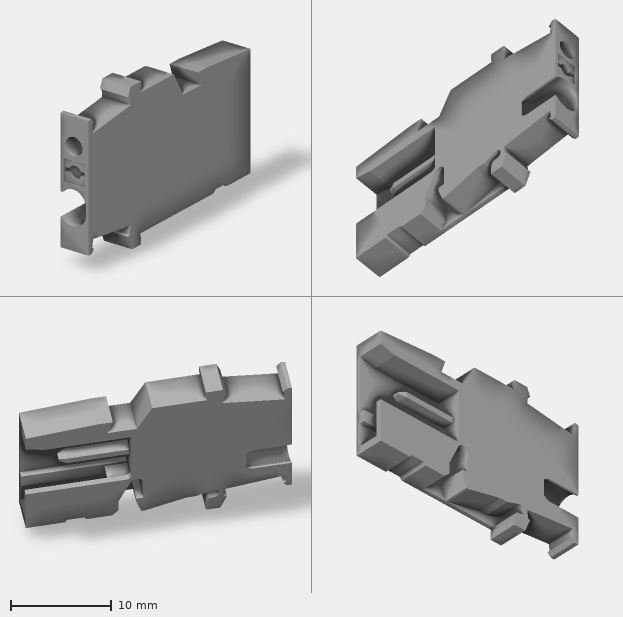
import cadquery as cq

width = 3.5
length = 27.0
height = 17.8
bottom = 1.25
body_top = 16.6
plug_top = 15.35

cut_depth = 3.02

pocket_end = 16.28
pocket_floor = 6.35
pocket_roof = 12.7
mouth_roof = 13.18
flare_start = 25.05
pocket_corner = 0.55
outer_wall = 0.62
channel_end = 18.55
channel_floor = 2.15
block_top = 6.08
rib_x = 2.4
rib_bottom = 4.91

pin_z = 9.5
pin_x = 1.55
pin_width = 1.35
pin_height = 0.68
pin_shoulder = 22.7
pin_tip = 23.44
pin_tip_width = 0.75
pin_tip_height = 0.27

entry_x = 1.55
entry_z = 6.6
entry_radius = 1.67
entry_height = 4.05
funnel_start = 4.67
funnel_wall = 0.14
funnel_end = 6.2
socket_x = 1.7
socket_z = 6.72
socket_width = 1.95
socket_height = 2.55
socket_depth = 2.7
sill_step = 0.15
sill_foot = 0.25
sill_knee = 0.08
slot_depth = 0.27
slot_length = funnel_start
slot_height = 2.75
slot_corner = 0.8

hole_x = 1.7
hole_z = 13.28
hole_radius = 1.05
hole_depth = 5.4
ramp_top = 13.42
ramp_run = 1.35

button_x = 1.7
button_z = 10.42
button_side = 2.62
button_recess = 0.15
button_depth = 0.68
button_radius = 0.73
button_slot = 0.57
tab_width = 0.6
tab_height = 0.08


def side_extrude(outline, start, depth):
    """Extrude a (Y, Z) outline along +X from the given X."""
    return outline.extrude(depth).translate((start, 0, 0))


def box(x0, x1, y0, y1, z0, z1):
    return cq.Workplane("XY").box(x1 - x0, y1 - y0, z1 - z0, centered=False).translate((x0, y0, z0))


def face_plane(y):
    """Sketch plane facing +Y: local x points along -X and local y along +Z."""
    return cq.Workplane(cq.Plane(origin=(0, y, 0), xDir=(-1, 0, 0), normal=(0, 1, 0)))


def make_body():
    outline = [
        (length, 14.8), (19.76, plug_top), (18.17, plug_top), (18.7, 13.82), (15.75, 13.82),
        (14.18, body_top), (8.6, body_top),
        (8.72, 17.05), (8.72, height), (7.0, height), (6.6, 16.8), (6.85, 16.8), (7.0, 15.8),
        (0.75, 14.98), (0.6, 16.05), (0.92, 16.1), (0.49, body_top), (0, 16.55),
        (0, 1.9), (0.5, 1.9), (0.92, 2.35), (0.6, 2.43), (0.75, 3.43),
        (7.0, 2.7), (6.85, 1.7), (6.6, 1.6), (7.25, 0), (8.72, 0), (8.72, 0.75), (8.6, bottom),
        (20.85, bottom), (21.11, 1.57), (22.82, 1.57), (23.0, bottom), (length, bottom),
    ]
    return side_extrude(cq.Workplane("YZ").polyline(outline).close(), 0, width)


def plug_pocket():
    outline = (
        cq.Workplane("YZ")
        .moveTo(length, mouth_roof)
        .lineTo(flare_start, pocket_roof)
        .lineTo(pocket_end, pocket_roof)
        .lineTo(pocket_end, pocket_floor + pocket_corner)
        .radiusArc((pocket_end + pocket_corner, pocket_floor), -pocket_corner)
        .lineTo(length, pocket_floor)
        .close()
    )
    channel = box(outer_wall, cut_depth, channel_end, length, channel_floor, pocket_floor)
    step = box(outer_wall, cut_depth, pocket_end, channel_end, block_top, pocket_floor + pocket_corner)
    return side_extrude(outline, 0, cut_depth).union(channel).union(step)


def guide_rib():
    return box(rib_x, cut_depth, pocket_end, length, rib_bottom, pocket_floor)


def contact_pin():
    shank = box(
        pin_x - pin_width / 2, pin_x + pin_width / 2, pocket_end, pin_shoulder,
        pin_z - pin_height / 2, pin_z + pin_height / 2,
    )
    tip = (
        face_plane(pin_shoulder)
        .center(-pin_x, pin_z)
        .rect(pin_width, pin_height)
        .workplane(offset=pin_tip - pin_shoulder)
        .rect(pin_tip_width, pin_tip_height)
        .loft(ruled=True)
    )
    return shank.union(tip)


def latch_cut():
    """Hook-shaped opening behind the latch at the underside."""
    outline = (
        cq.Workplane("YZ")
        .moveTo(18.25, bottom)
        .lineTo(17.58, 1.9)
        .lineTo(17.58, 3.27)
        .lineTo(16.45, 5.67)
        .threePointArc((15.75, 6.2), (15.07, 5.67))
        .lineTo(15.07, 3.27)
        .lineTo(15.8, 3.27)
        .lineTo(15.8, 2.78)
        .lineTo(15.28, bottom)
        .close()
    )
    return side_extrude(outline, 0, cut_depth)


def spring_cut():
    """Wedge-shaped gap that frees the lower latch foot."""
    outline = (
        cq.Workplane("YZ")
        .moveTo(15.0, bottom)
        .lineTo(10.66, 2.3)
        .lineTo(9.7, 2.3)
        .lineTo(8.02, 2.85)
        .threePointArc((7.4, 2.3), (7.88, 1.73))
        .lineTo(8.3, 1.73)
        .threePointArc((8.5, 1.57), (8.6, bottom))
        .close()
    )
    return side_extrude(outline, 0, cut_depth)


def wire_entry():
    bore = (
        face_plane(0)
        .center(-entry_x, entry_z)
        .slot2D(entry_height, 2 * entry_radius, 90)
        .extrude(funnel_end)
    )
    funnel_right = entry_x + entry_radius
    funnel_x = (funnel_wall + funnel_right) / 2
    funnel = (
        face_plane(funnel_start)
        .center(-funnel_x, entry_z)
        .rect(funnel_right - funnel_wall, entry_height)
        .workplane(offset=funnel_end - funnel_start)
        .center(funnel_x - socket_x, socket_z - entry_z)
        .rect(socket_width, socket_height)
        .loft(ruled=True)
    )
    tapered_bore = bore.intersect(funnel.union(box(-width, width, 0, funnel_start, 0, height)))

    back = funnel_end + socket_depth
    floor = socket_z - socket_height / 2
    roof = socket_z + socket_height / 2
    socket_outline = [
        (funnel_end, roof), (funnel_end, floor), (back - sill_foot, floor),
        (back - sill_knee, floor + sill_step), (back, floor + 2 * sill_step), (back, roof),
    ]
    socket = side_extrude(
        cq.Workplane("YZ").polyline(socket_outline).close(), socket_x - socket_width / 2, socket_width
    )

    slot = box(
        0, slot_depth, 0, slot_length, entry_z - slot_height / 2, entry_z + slot_height / 2
    ).edges("|X and >Y").fillet(slot_corner)
    return tapered_bore.union(socket).union(slot)


def screwdriver_hole():
    bore = face_plane(0).center(-hole_x, hole_z).circle(hole_radius).extrude(hole_depth)
    low = hole_z - hole_radius
    ramp_outline = [(hole_depth - ramp_run, low), (hole_depth, low), (hole_depth, ramp_top)]
    ramp = side_extrude(
        cq.Workplane("YZ").polyline(ramp_outline).close(), hole_x - hole_radius, 2 * hole_radius
    )
    return bore.cut(ramp)


def button_recess_cut():
    sketch = face_plane(0).center(-button_x, button_z)
    recess = sketch.rect(button_side, button_side).extrude(button_recess)
    top = button_z + button_side / 2
    tab = box(
        button_x - tab_width / 2, button_x + tab_width / 2, 0, button_recess, top - tab_height, top
    )
    cross_slot = sketch.rect(button_side, button_slot).extrude(button_depth)
    socket = sketch.circle(button_radius).extrude(button_depth)
    return recess.cut(tab).union(cross_slot).union(socket)


result = (
    make_body()
    .cut(plug_pocket())
    .union(guide_rib())
    .union(contact_pin())
    .cut(latch_cut())
    .cut(spring_cut())
    .cut(wire_entry())
    .cut(screwdriver_hole())
    .cut(button_recess_cut())
)